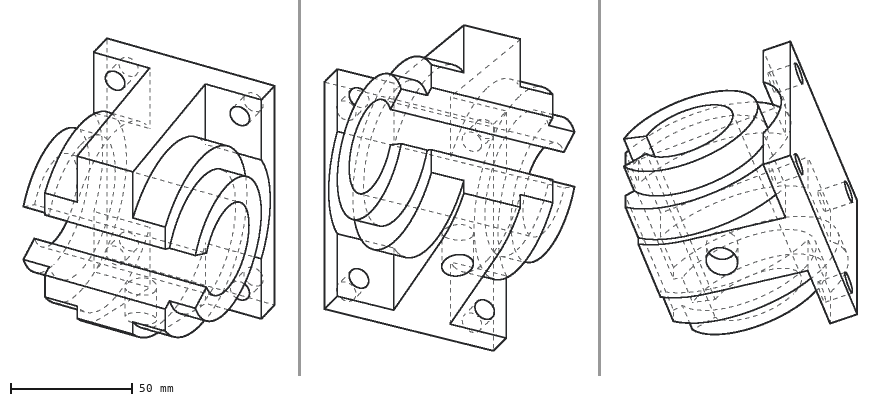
import cadquery as cq
import math

PLATE_WIDTH = 78.0
PLATE_HEIGHT = 108.0
PLATE_THICKNESS = 12.0
BOLT_HOLE_DIAMETER = 9.0
BOLT_SPACING_X = 58.0
BOLT_SPACING_Z = 86.0

BORE_RADIUS = 20.0
SLEEVE_RADIUS = 31.0
SLEEVE_LENGTH = 80.0
COLLAR_RADIUS = 41.0
COLLAR_LENGTH = 56.0
AXIS_TO_BACK = 45.0
AXIS_TO_FRONT = 32.0
MOUTH_HALF_ANGLE = math.radians(24.8)

RIB_WIDTH = 26.0
RIB_TOP_SLOPE = math.radians(5)
RIB_NOSE_RADIUS = 45.0
CROSS_HOLE_DIAMETER = 13.0

PLATE_FRONT_Y = AXIS_TO_BACK - PLATE_THICKNESS
FRONT_Y = -AXIS_TO_FRONT
HALF_HEIGHT = PLATE_HEIGHT / 2


def cylinder_along_x(radius, length):
    return cq.Workplane("YZ").circle(radius).extrude(length / 2, both=True)


def make_plate():
    """Flat plate with a bolt hole near each corner."""
    return (
        cq.Workplane("XZ", origin=(0, AXIS_TO_BACK, 0))
        .rect(PLATE_WIDTH, PLATE_HEIGHT)
        .extrude(PLATE_THICKNESS)
        .faces("<Y")
        .workplane(centerOption="CenterOfBoundBox")
        .rect(BOLT_SPACING_X, BOLT_SPACING_Z, forConstruction=True)
        .vertices()
        .hole(BOLT_HOLE_DIAMETER)
    )


def nose_point(angle):
    """Point on the rib nose, at an angle from straight down toward the front."""
    return (-RIB_NOSE_RADIUS * math.sin(angle), -RIB_NOSE_RADIUS * math.cos(angle))


def make_rib():
    """Rib with a sloping top, and an underside that runs tangent into a round nose."""
    corner_distance = math.hypot(PLATE_FRONT_Y, HALF_HEIGHT)
    corner_angle = math.atan2(PLATE_FRONT_Y, HALF_HEIGHT)
    tangent_angle = math.acos(RIB_NOSE_RADIUS / corner_distance) - corner_angle
    top_drop = (PLATE_FRONT_Y - FRONT_Y) * math.tan(RIB_TOP_SLOPE)
    front_angle = math.asin(AXIS_TO_FRONT / RIB_NOSE_RADIUS)
    return (
        cq.Workplane("YZ")
        .moveTo(PLATE_FRONT_Y, -HALF_HEIGHT)
        .lineTo(*nose_point(tangent_angle))
        .threePointArc(nose_point((tangent_angle + front_angle) / 2), nose_point(front_angle))
        .lineTo(FRONT_Y, HALF_HEIGHT - top_drop)
        .lineTo(PLATE_FRONT_Y, HALF_HEIGHT)
        .close()
        .extrude(RIB_WIDTH / 2, both=True)
    )


def make_collar():
    """Collar around the bearing, cut flat at the front."""
    front_limit = cq.Workplane("XY").box(
        COLLAR_LENGTH,
        AXIS_TO_FRONT + AXIS_TO_BACK,
        2 * COLLAR_RADIUS,
    ).translate((0, (AXIS_TO_BACK - AXIS_TO_FRONT) / 2, 0))
    return cylinder_along_x(COLLAR_RADIUS, COLLAR_LENGTH).intersect(front_limit)


def make_mouth():
    """Wedge from the bearing axis that opens the bore toward the front."""
    reach = COLLAR_RADIUS
    half_opening = reach * math.tan(MOUTH_HALF_ANGLE)
    return (
        cq.Workplane("YZ")
        .polyline([(0, 0), (-reach, half_opening), (-reach, -half_opening)])
        .close()
        .extrude(SLEEVE_LENGTH / 2, both=True)
    )


def make_cross_hole():
    """Vertical hole from the underside of the rib up to the bearing axis."""
    return cq.Workplane("XY").circle(CROSS_HOLE_DIAMETER / 2).extrude(-HALF_HEIGHT)


plate = make_plate().cut(cylinder_along_x(COLLAR_RADIUS, PLATE_WIDTH))

housing = plate.union(make_collar()).union(make_rib()).cut(make_cross_hole())

result = (
    housing.union(cylinder_along_x(SLEEVE_RADIUS, SLEEVE_LENGTH))
    .cut(cylinder_along_x(BORE_RADIUS, SLEEVE_LENGTH))
    .cut(make_mouth())
)